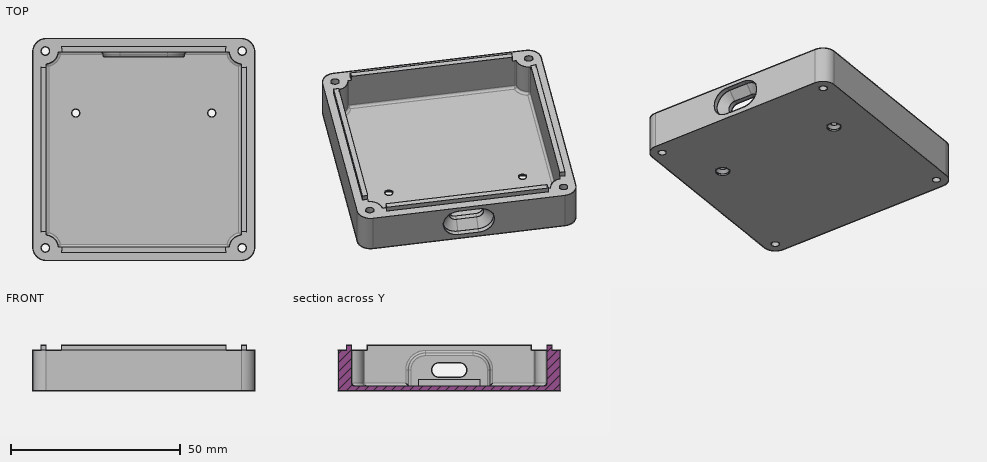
import cadquery as cq

cone_taper = 45

side = 65.4
body_height = 12.0
outer_radius = 4.0
wall = 4.0
floor = 1.5
floor_fillet = 0.8
half_side = side / 2
cavity_side = side - 2 * wall
inner_face = half_side - wall

hole_diameter = 2.4
hole_inset = 3.7
boss_radius = 3.8
boss_blend = 0.3
hole_spacing = side - 2 * hole_inset

lip_height = 1.5
lip_inset = 2.4
lip_clearance_radius = 4.9
lip_side = side - 2 * lip_inset

mount_hole_diameter = 2.3
mount_head_diameter = 4.2
mount_cone_height = (mount_head_diameter - mount_hole_diameter) / 2
mount_head_depth = floor - mount_cone_height
mount_spacing = 40.0
mount_y = 10.7

plate_depth = 1.5
blend = plate_depth / 2
plate_half_width = 12.05
plate_height = 9.6
plate_corner_radius = 5.0
leg_width = 2.2
notch_height = 1.9
notch_width = 2 * (plate_half_width - blend - leg_width)

port_z = 6.15
port_length = 10.3
port_height = 4.2
recess_height = 9.15
recess_length = port_length + recess_height - port_height
funnel_depth = (recess_height - port_height) / 2
recess_depth = wall - funnel_depth


def corner_points(spacing):
    """Four points at the corners of a square centred on the Z axis."""
    return [(x * spacing / 2, y * spacing / 2) for x in (-1, 1) for y in (-1, 1)]


def make_body():
    """Square tray with a filleted cavity that bends around the corner bosses."""
    body = cq.Workplane("XY").box(side, side, body_height, centered=(True, True, False))
    body = body.edges("|Z").fillet(outer_radius)
    cavity_height = body_height - floor
    cavity = cq.Workplane("XY", origin=(0, 0, floor)).rect(cavity_side, cavity_side).extrude(cavity_height)
    bosses = (
        cq.Workplane("XY", origin=(0, 0, floor))
        .pushPoints(corner_points(hole_spacing))
        .circle(boss_radius)
        .extrude(cavity_height)
    )
    cavity = cavity.cut(bosses)
    cavity = cavity.edges("|Z").fillet(boss_blend)
    cavity = cavity.faces("<Z").edges().fillet(floor_fillet)
    return body.cut(cavity)


def make_lip():
    """Square ring flush with the cavity walls, broken by round gaps at the screws."""
    top = cq.Workplane("XY", origin=(0, 0, body_height))
    ring = top.rect(lip_side, lip_side).rect(cavity_side, cavity_side).extrude(lip_height)
    gaps = top.pushPoints(corner_points(hole_spacing)).circle(lip_clearance_radius).extrude(lip_height)
    return ring.cut(gaps)


def arch(half_width, height, radius):
    """Open arch line on the +Y wall face, with both feet on the floor."""
    shoulder = height - radius
    return (
        cq.Workplane("XZ", origin=(0, inner_face, floor))
        .moveTo(-half_width, 0)
        .lineTo(-half_width, shoulder)
        .radiusArc((radius - half_width, height), radius)
        .lineTo(half_width - radius, height)
        .radiusArc((half_width, shoulder), radius)
        .lineTo(half_width, 0)
    )


def make_plate():
    """Arched plate whose edge flows into the wall."""
    core = arch(plate_half_width - blend, plate_height - blend, plate_corner_radius - blend)
    plate = core.close().extrude(plate_depth)
    path = arch(plate_half_width, plate_height, plate_corner_radius)
    diagonal = blend * 0.5 ** 0.5
    edge = (
        cq.Workplane("XY", origin=(-plate_half_width, inner_face, floor))
        .moveTo(-blend, 0)
        .threePointArc((-blend + diagonal, diagonal - blend), (0, -blend))
        .threePointArc((blend - diagonal, -blend - diagonal), (blend, -plate_depth))
        .lineTo(blend, 0)
        .close()
        .sweep(path)
    )
    return plate.union(edge)


def make_notch():
    """Gap under the plate between its legs, back to the wall face."""
    return (
        cq.Workplane("XY", origin=(0, inner_face - plate_depth / 2, floor))
        .box(notch_width, plate_depth, notch_height, centered=(True, True, False))
    )


def slot(length, height, y_start, depth, taper=0):
    """Obround prism running from y_start toward -Y at the port height."""
    return cq.Workplane("XZ", origin=(0, y_start, port_z)).slot2D(length, height).extrude(depth, taper=taper)


def make_port():
    """Through opening: outer recess, 45 degree funnel and the slot in the plate."""
    recess = slot(recess_length, recess_height, half_side, recess_depth)
    funnel = slot(recess_length, recess_height, half_side - recess_depth, funnel_depth, cone_taper)
    opening = slot(port_length, port_height, half_side, wall + plate_depth)
    return opening.union(recess).union(funnel)


def make_screw_holes():
    """Straight holes through the full height of the corner bosses."""
    holes = cq.Workplane("XY").pushPoints(corner_points(hole_spacing)).circle(hole_diameter / 2)
    return holes.extrude(body_height)


def make_mount_holes():
    """Floor holes sunk from below: a round head seat, then a cone up to the floor surface."""
    points = [(-mount_spacing / 2, mount_y), (mount_spacing / 2, mount_y)]
    head_radius = mount_head_diameter / 2
    seats = cq.Workplane("XY").pushPoints(points).circle(head_radius).extrude(mount_head_depth)
    cones = (
        cq.Workplane("XY", origin=(0, 0, mount_head_depth))
        .pushPoints(points)
        .circle(head_radius)
        .extrude(mount_cone_height, taper=cone_taper)
    )
    return seats.union(cones)


result = make_body().union(make_lip()).union(make_plate())
for opening in (make_notch(), make_port(), make_screw_holes(), make_mount_holes()):
    result = result.cut(opening)